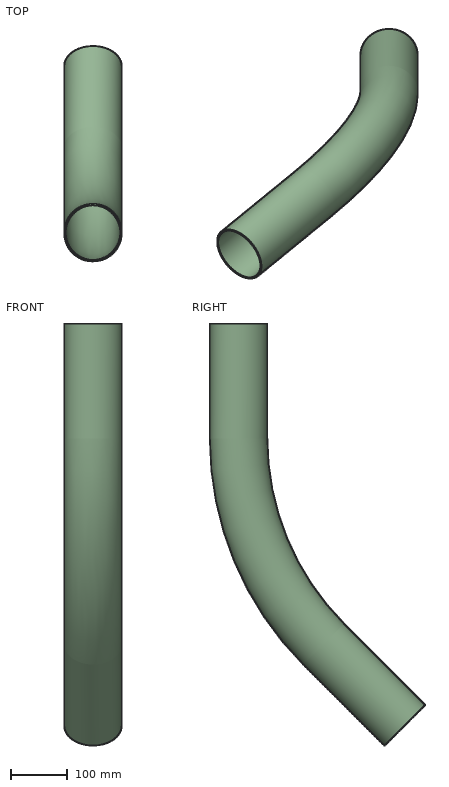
import cadquery as cq
import math

overall_height = 742.0
outer_diameter = 102.0
inner_diameter = 96.0
straight_length = 202.0
bend_angle = 45.0

outer_radius = outer_diameter / 2
sine = math.sin(math.radians(bend_angle))
cosine = math.cos(math.radians(bend_angle))
lower_leg_height = straight_length * cosine
end_face_height = outer_radius * sine
bend_radius = (overall_height - straight_length - lower_leg_height - end_face_height) / sine


def bend_point(angle):
    """Centreline point (Y, Z) after turning by the angle in degrees."""
    turn = math.radians(angle)
    return bend_radius * (1 - math.cos(turn)), -bend_radius * math.sin(turn)


bend_end = bend_point(bend_angle)
lower_end = (bend_end[0] + straight_length * sine, bend_end[1] - lower_leg_height)
centreline = (
    cq.Workplane("YZ")
    .moveTo(0, straight_length)
    .lineTo(0, 0)
    .threePointArc(bend_point(bend_angle / 2), bend_end)
    .lineTo(*lower_end)
)

result = (
    cq.Workplane("XY", origin=(0, 0, straight_length))
    .circle(outer_radius)
    .circle(inner_diameter / 2)
    .sweep(centreline)
)